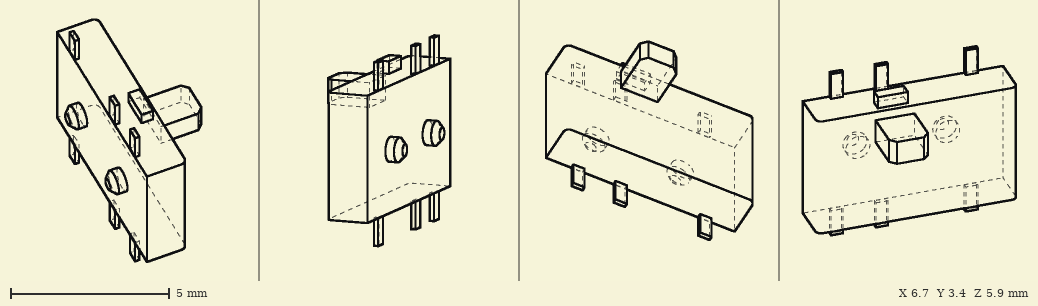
import cadquery as cq

body_width = 6.7
overall_depth = 3.4
overall_height = 5.9

body_depth = 1.4
body_height = 4.1
back_corner_radius = 0.2

pin_width = 0.4
pin_thickness = 0.15
pin_inset = 0.01

contact_pitch = 1.5
moving_x = contact_pitch / 2
pin_positions = (-1.5 * contact_pitch, moving_x, 1.5 * contact_pitch)

post_diameter = 0.8
post_length = 0.495
post_tip_chamfer = 0.2
post_positions = (-contact_pitch, contact_pitch)

knob_width = 1.3
knob_height = 0.8
knob_length = overall_depth - body_depth - post_length
knob_chamfer = 0.2
knob_top_margin = 0.3

tab_width = 1.0
tab_depth = 0.4
tab_height = 0.4
tab_back_margin = 0.2


def make_body():
    body = cq.Workplane("XY").box(body_width, body_depth, body_height, centered=(True, False, True))
    return body.edges("|Z and >Y").fillet(back_corner_radius)


def make_pin(x):
    pin = cq.Workplane("XY").box(pin_width, pin_thickness, overall_height, centered=(True, False, True))
    return pin.translate((x, pin_inset, 0))


def make_post(x):
    post = cq.Workplane("XZ").center(x, 0).circle(post_diameter / 2).extrude(post_length)
    return post.faces("<Y").chamfer(post_tip_chamfer)


def make_knob():
    knob = cq.Workplane("XY").box(knob_width, knob_length, knob_height, centered=(True, False, True))
    knob = knob.edges("|Z and >Y").chamfer(knob_chamfer)
    knob_z = body_height / 2 - knob_top_margin - knob_height / 2
    return knob.translate((moving_x, body_depth, knob_z))


def make_tab():
    tab = cq.Workplane("XY").box(tab_width, tab_depth, tab_height, centered=(True, False, False))
    return tab.translate((moving_x, body_depth - tab_back_margin - tab_depth, body_height / 2))


result = make_body().union(make_knob()).union(make_tab())
for pin_x in pin_positions:
    result = result.union(make_pin(pin_x))
for post_x in post_positions:
    result = result.union(make_post(post_x))